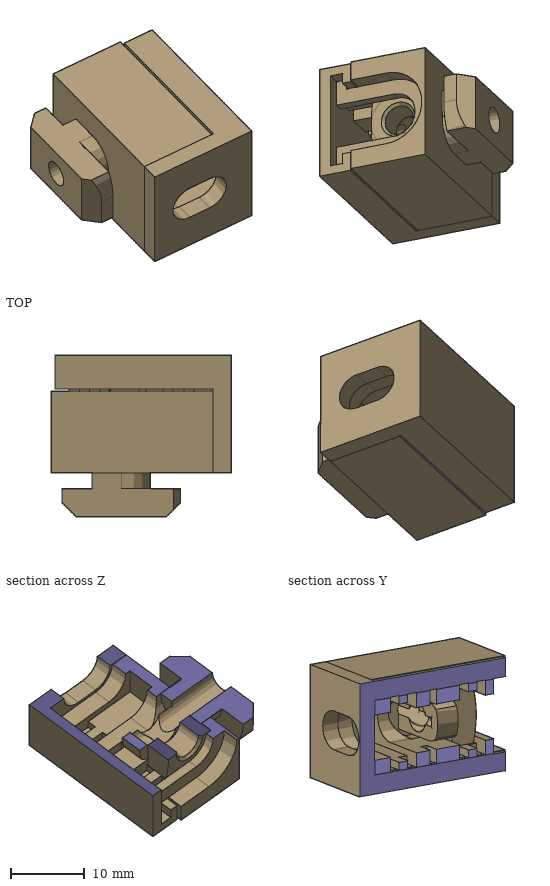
import cadquery as cq
import math

length = 24.5
height = 16.0
cover_back_y = 16.0
cover_wall = 2.5
cover_start_x = 0.5
cover_gap = 0.3
housing_length = length - cover_wall
housing_depth = 11.1
cover_front_y = housing_depth + cover_gap

axis_y = 5.78
channel_radius = 5.3
slot_radius = 3.15
rail_start_x = 2.43
rail_back_y = 14.35
flange_front_y = 12.86
flange_half_height = 6.65
flange_play = 0.1

nut_width = 7.99
nut_thickness = 4.0
nut_hole_diameter = 4.2
nut_mouth_diameter = 5.0
nut_mouth_depth = 0.4
nut_chamfer_drop = 0.5
pocket_start_x = 3.82
pocket_length = 4.2
second_pocket_x = 15.21
rib_width = 1.45
pocket_play = 0.1
slit_floor_z = -5.2
middle_slit_x = 11.93
middle_slit_width = 0.98

hammer_x = 9.53
head_half_length = 8.08
head_half_height = 3.9
head_front_y = -6.0
head_back_y = -2.15
head_chamfer = 1.95
stem_radius = head_half_height
neck_offset = 4.0
stem_shoulder_y = axis_y - nut_width / 2
tail_thickness = 3.38
tail_radius = 5.0
tail_axis_y = 6.32
tail_hole_diameter = 4.2
head_hole_diameter = 3.6
head_hole_end_y = 9.8

opening_width = 5.5
opening_end_y = 9.06


def box(x_range, y_range, z_range):
    """Box between pairs of X, Y and Z limits."""
    low, high = zip(x_range, y_range, z_range)
    size = [b - a for a, b in zip(low, high)]
    return cq.Workplane("XY").box(*size, centered=False).translate(low)


def slab(x_range, y_range, half_height):
    """Box that is symmetric about Z = 0."""
    return box(x_range, y_range, (-half_height, half_height))


def cylinder_x(x_range, y, radius):
    """Cylinder along X at Z = 0."""
    start, end = x_range
    return cq.Workplane("YZ", origin=(start, y, 0)).circle(radius).extrude(end - start)


def cylinder_y(x, y_range, radius):
    """Cylinder along Y at Z = 0."""
    start, end = y_range
    return cq.Workplane("XZ", origin=(x, start, 0)).circle(radius).extrude(start - end)


def u_channel(x_range, radius, back_y):
    """Channel with a round floor about the nut axis, open towards +Y."""
    return cylinder_x(x_range, axis_y, radius).union(slab(x_range, (axis_y, back_y), radius))


def rail_slit(start_x, width):
    """Slit across the rail, from the nut's rear face to the rail back."""
    slit_y = (axis_y + nut_width / 2, rail_back_y)
    return box((start_x, start_x + width), slit_y, (slit_floor_z, flange_half_height))


def cut_pocket(body, start_x):
    """Cut a square nut pocket, and a slit on each side of its rib."""
    end_x = start_x + pocket_length
    slit_width = (pocket_length - rib_width) / 2
    pocket_y = (axis_y - nut_width / 2, rail_back_y)
    body = body.cut(slab((start_x, end_x), pocket_y, nut_width / 2 + pocket_play))
    for slit_x in (start_x, end_x - slit_width):
        body = body.cut(rail_slit(slit_x, slit_width))
    return body


def make_housing():
    rail_x = (rail_start_x, housing_length)
    body = slab((0, housing_length), (0, housing_depth), height / 2)
    body = body.cut(u_channel((0, rail_start_x), channel_radius, housing_depth))
    body = body.union(slab(rail_x, (housing_depth, rail_back_y), channel_radius))
    body = body.union(slab(rail_x, (flange_front_y, rail_back_y), flange_half_height))
    body = body.cut(u_channel(rail_x, slot_radius, rail_back_y))
    for start_x in (pocket_start_x, second_pocket_x):
        body = cut_pocket(body, start_x)
    body = body.cut(rail_slit(middle_slit_x, middle_slit_width))
    return body.cut(cylinder_y(hammer_x, (0, axis_y), stem_radius))


def make_cover():
    slot_x = (cover_start_x, housing_length)
    wall_x = (housing_length, length)
    body = slab((cover_start_x, length), (cover_front_y, cover_back_y), height / 2)
    body = body.union(slab(wall_x, (0, cover_back_y), height / 2))
    body = body.cut(slab(slot_x, (cover_front_y, rail_back_y), channel_radius))
    t_slot_y = (flange_front_y - cover_gap, rail_back_y)
    body = body.cut(slab(slot_x, t_slot_y, flange_half_height + flange_play))
    for end_y in (axis_y, opening_end_y):
        body = body.cut(cylinder_x(wall_x, end_y, opening_width / 2))
    return body.cut(slab(wall_x, (axis_y, opening_end_y), opening_width / 2))


def make_clamp_nut():
    half = nut_width / 2
    end_x = pocket_start_x + nut_thickness
    nut_x = (pocket_start_x, end_x)
    body = slab(nut_x, (axis_y - half, axis_y + half), half)
    corner_radius = half * math.sqrt(2)
    blank = (
        cq.Workplane("XY")
        .moveTo(pocket_start_x, axis_y)
        .lineTo(pocket_start_x, axis_y + half)
        .lineTo(pocket_start_x + nut_chamfer_drop, axis_y + corner_radius)
        .lineTo(end_x, axis_y + corner_radius)
        .lineTo(end_x, axis_y)
        .close()
        .revolve(360, (pocket_start_x, axis_y, 0), (end_x, axis_y, 0))
    )
    body = body.intersect(blank)
    body = body.cut(cylinder_x(nut_x, axis_y, nut_hole_diameter / 2))
    mouth = (
        cq.Workplane("YZ", origin=(pocket_start_x, axis_y, 0))
        .circle(nut_mouth_diameter / 2)
        .workplane(offset=nut_mouth_depth)
        .circle(nut_hole_diameter / 2)
        .loft(ruled=True)
    )
    return body.cut(mouth)


def make_hammer_head():
    left = hammer_x - head_half_length
    right = hammer_x + head_half_length
    head_y = (head_front_y, head_back_y)
    body = slab((left, right), head_y, head_half_height)
    body = body.faces("<Y").edges("|Z").chamfer(head_chamfer)
    sweep = cylinder_y(hammer_x, head_y, head_half_length)
    sweep = sweep.union(box((left, hammer_x), head_y, (0, head_half_height)))
    sweep = sweep.union(box((hammer_x, right), head_y, (-head_half_height, 0)))
    return body.intersect(sweep)


def make_hammer_nut():
    body = make_hammer_head()
    stem = cylinder_y(hammer_x, (head_back_y, stem_shoulder_y), stem_radius)
    neck_y = (head_back_y, 0)
    stem = stem.union(box((hammer_x - neck_offset, hammer_x), neck_y, (0, head_half_height)))
    stem = stem.union(box((hammer_x, hammer_x + neck_offset), neck_y, (-head_half_height, 0)))
    tail_x = (hammer_x - tail_thickness / 2, hammer_x + tail_thickness / 2)
    tail = slab(tail_x, (stem_shoulder_y, opening_end_y), opening_width / 2)
    tail = tail.union(cylinder_x(tail_x, opening_end_y, opening_width / 2))
    round_end = cylinder_x(tail_x, tail_axis_y, tail_radius)
    round_end = round_end.union(slab(tail_x, (stem_shoulder_y, tail_axis_y), tail_radius))
    body = body.union(stem).union(tail.intersect(round_end))
    body = body.cut(cylinder_x(tail_x, tail_axis_y, tail_hole_diameter / 2))
    return body.cut(cylinder_y(hammer_x, (head_front_y, head_hole_end_y), head_hole_diameter / 2))


housing = make_housing()
cover = make_cover()
clamp_nut = make_clamp_nut()
hammer_nut = make_hammer_nut()

result = cq.Compound.makeCompound(
    [
        housing.solids().val(),
        cover.solids().val(),
        clamp_nut.solids().val(),
        hammer_nut.solids().val(),
    ]
)